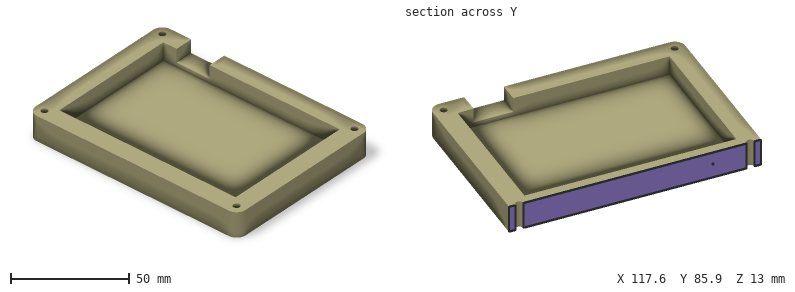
import cadquery as cq

LENGTH = 117.6
WIDTH = 85.9
HEIGHT = 13.0
CORNER_RADIUS = 4.9

WALL = 9.4
FLOOR = 3.5
POCKET_LENGTH = LENGTH - 2 * WALL
POCKET_WIDTH = WIDTH - 2 * WALL

NOTCH_START = 16.8
NOTCH_LENGTH = 18.5
NOTCH_DEPTH = 7.0

HOLE_DIAMETER = 3.4


def outer_block():
    block = cq.Workplane("XY").box(LENGTH, WIDTH, HEIGHT, centered=(True, True, False))
    return block.edges("|Z").fillet(CORNER_RADIUS)


def pocket():
    cutter = cq.Workplane("XY").workplane(offset=FLOOR)
    return cutter.rect(POCKET_LENGTH, POCKET_WIDTH).extrude(HEIGHT - FLOOR)


def notch():
    cutter = cq.Workplane("XY").box(NOTCH_LENGTH, WALL, NOTCH_DEPTH, centered=False)
    return cutter.translate((NOTCH_START - LENGTH / 2, WIDTH / 2 - WALL, HEIGHT - NOTCH_DEPTH))


def corner_holes():
    spacing_x = LENGTH - 2 * CORNER_RADIUS
    spacing_y = WIDTH - 2 * CORNER_RADIUS
    centers = cq.Workplane("XY").rect(spacing_x, spacing_y, forConstruction=True).vertices()
    return centers.circle(HOLE_DIAMETER / 2).extrude(HEIGHT)


result = outer_block().cut(pocket()).cut(notch()).cut(corner_holes())